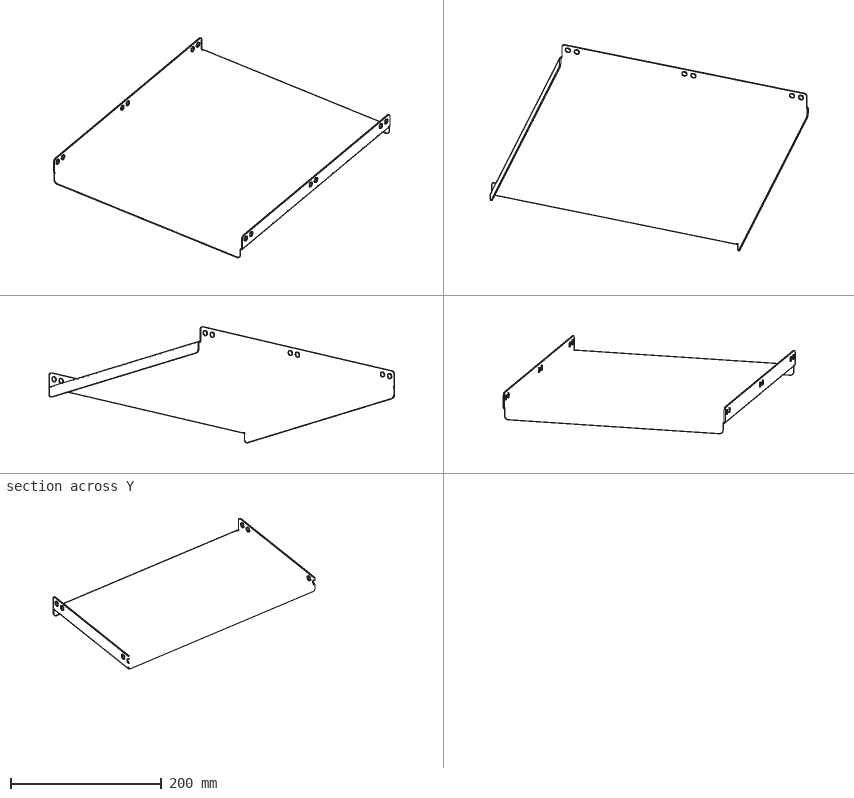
import cadquery as cq

width = 306.0
length = 346.0
height = 35.5

sheet = 1.5
inner_radius = 1.0
outer_radius = sheet + inner_radius

wall_height = 21.8
lip_height = height - wall_height + sheet
wall_length = length - 2 * outer_radius
lip_width = width - 2 * outer_radius
wall_corner_radius = 4.0
lip_corner_radius = 5.2

hole_diameter = 7.0
hole_drop = 8.0
hole_spacing = 12.5
end_hole_offset = 162.3


def folded_channel(span, leg, depth, corner_radius):
    """Return a U channel along Y, legs up, with rounded bends and rounded leg corners."""
    outer = (
        cq.Workplane("XY")
        .box(span, depth, leg, centered=(True, True, False))
        .edges("|Y and <Z")
        .fillet(outer_radius)
    )
    inner = (
        cq.Workplane("XY")
        .workplane(offset=sheet)
        .box(span - 2 * sheet, depth, leg, centered=(True, True, False))
        .edges("|Y and <Z")
        .fillet(inner_radius)
    )
    channel = outer.cut(inner)
    return channel.edges("|X and >Z").fillet(corner_radius)

def wall_holes():
    """Return cutters for three hole pairs: one at each end and one beside the middle."""
    end_pair = [end_hole_offset, end_hole_offset - hole_spacing]
    middle_pair = [0, -hole_spacing]
    positions = end_pair + middle_pair + [-y for y in end_pair]
    return (
        cq.Workplane("YZ")
        .pushPoints([(y, wall_height - hole_drop) for y in positions])
        .circle(hole_diameter / 2)
        .extrude(width, both=True)
    )

side_walls = folded_channel(width, wall_height, wall_length, wall_corner_radius)
side_walls = side_walls.cut(wall_holes())

end_lips = (
    folded_channel(length, lip_height, lip_width, lip_corner_radius)
    .rotate((0, 0, 0), (0, 0, 1), 90)
    .rotate((0, 0, 0), (1, 0, 0), 180)
    .translate((0, 0, sheet))
)

result = side_walls.union(end_lips)